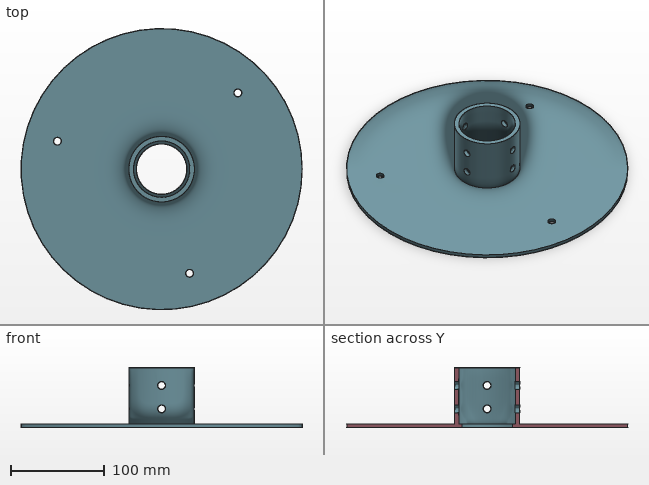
import cadquery as cq

plate_diameter = 300.0
plate_thickness = 4.0
plate_bore_diameter = 53.56

mount_hole_diameter = 8.0
mount_circle_radius = 115.0
mount_hole_count = 3
mount_first_angle = 45.0
full_turn = 360.0

total_height = 64.0
tube_outer_diameter = 70.0
tube_inner_diameter = 60.0
tube_height = total_height - plate_thickness

cross_hole_diameter = 8.0
cross_row_spacing = 25.0
upper_row_below_rim = 19.0
upper_row_height = total_height - upper_row_below_rim
cross_row_heights = [upper_row_height - cross_row_spacing, upper_row_height]


def make_plate():
    """Round plate with a central bore and a ring of mounting holes."""
    return (
        cq.Workplane("XY")
        .circle(plate_diameter / 2)
        .circle(plate_bore_diameter / 2)
        .extrude(plate_thickness)
        .faces(">Z")
        .workplane(origin=(0, 0, plate_thickness))
        .polarArray(mount_circle_radius, mount_first_angle, full_turn, mount_hole_count)
        .hole(mount_hole_diameter)
    )


def make_tube():
    """Tube resting on the top face of the plate."""
    return (
        cq.Workplane("XY", origin=(0, 0, plate_thickness))
        .circle(tube_outer_diameter / 2)
        .circle(tube_inner_diameter / 2)
        .extrude(tube_height)
    )


def make_cross_drill(plane, height):
    """Horizontal cylinder that crosses the whole tube at the given height."""
    return (
        cq.Workplane(plane, origin=(0, 0, height))
        .circle(cross_hole_diameter / 2)
        .extrude(tube_outer_diameter, both=True)
    )


result = make_plate().union(make_tube())
for row_height in cross_row_heights:
    for drill_plane in ("XZ", "YZ"):
        result = result.cut(make_cross_drill(drill_plane, row_height))